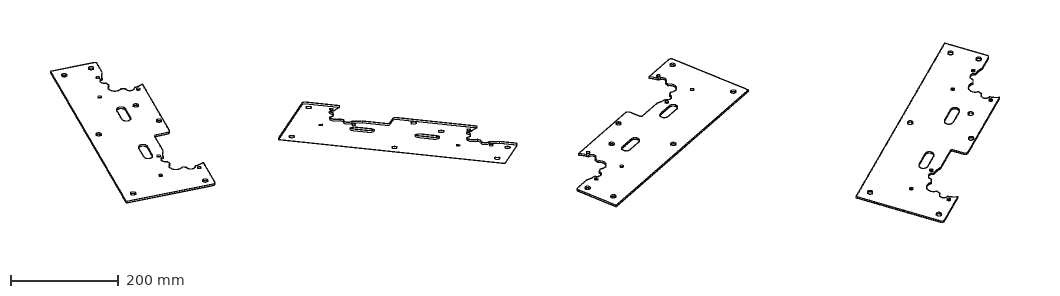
import cadquery as cq

length = 435.0
width = 175.5
thickness = 4.0

bay_pitch = 271.0
bay_rise = 27.0

left_ledge = 89.5
left_peak = width - bay_rise
right_ledge = left_ledge + bay_rise
step_x = 253.5

left_corner_radius = 4.0
peak_corner_radius = 6.5
inner_corner_radius = 4.0
right_corner_radius = 5.2

bay_x = 56.0
bay_y = 126.5
bay_radius = 43.0
corner_scallop_offset = 30.0
corner_scallop_radius = 12.5
side_scallop_reach = 41.8
side_scallop_shift = 4.5
side_scallop_radius = 8.3

small_hole_diameter = 6.5
small_hole_reach = 50.0
small_hole_shift = 9.0
lower_hole_drop = 66.5

large_hole_diameter = 10.0
bottom_row_y = 20.0
large_hole_centres = [
    (20.0, bottom_row_y),
    (217.5, bottom_row_y),
    (415.0, bottom_row_y),
    (15.0, 74.5),
    (153.0, 115.0),
    (212.5, 140.0),
    (419.8, 160.0),
]

slot_length = 46.0
slot_width = 17.0
slot_y = 85.0
first_slot_x = 172.0
slot_pitch = 125.3


def round_corner(body, x, y, radius):
    """Round the vertical edge nearest to a plan position."""
    nearest = cq.selectors.NearestToPointSelector((x, y, thickness / 2))
    return body.edges("|Z").edges(nearest).fillet(radius)


def cylinders(centres, radius):
    return cq.Workplane("XY").pushPoints(centres).circle(radius).extrude(thickness)


def make_blank():
    """Stepped plate before the bays and holes are cut."""
    second_bay_x = bay_x + bay_pitch
    blank = (
        cq.Workplane("XY")
        .polyline([
            (0, 0),
            (length, 0),
            (length, width),
            (second_bay_x, width),
            (second_bay_x, right_ledge),
            (step_x, right_ledge),
            (step_x, left_peak),
            (bay_x, left_peak),
            (bay_x, left_ledge),
            (0, left_ledge),
        ])
        .close()
        .extrude(thickness)
    )
    blank = round_corner(blank, 0, left_ledge, left_corner_radius)
    blank = round_corner(blank, step_x, left_peak, peak_corner_radius)
    blank = round_corner(blank, step_x, right_ledge, inner_corner_radius)
    return round_corner(blank, length, width, right_corner_radius)


def cut_bay(body, x, y):
    """Cut a scalloped bay and its three small holes around a bay centre."""
    corner_scallop = [(x + corner_scallop_offset, y - corner_scallop_offset)]
    side_scallops = [
        (x + side_scallop_reach, y - side_scallop_shift),
        (x + side_scallop_shift, y - side_scallop_reach),
    ]
    small_holes = [
        (x + small_hole_reach, y + small_hole_shift),
        (x - small_hole_shift, y - small_hole_reach),
        (x + small_hole_reach, y - lower_hole_drop),
    ]
    body = body.cut(cylinders([(x, y)], bay_radius))
    body = body.cut(cylinders(corner_scallop, corner_scallop_radius))
    body = body.cut(cylinders(side_scallops, side_scallop_radius))
    return body.cut(cylinders(small_holes, small_hole_diameter / 2))


def make_slots():
    centres = [(first_slot_x, slot_y), (first_slot_x + slot_pitch, slot_y)]
    return cq.Workplane("XY").pushPoints(centres).slot2D(slot_length, slot_width).extrude(thickness)


plate = make_blank()
for index in range(2):
    plate = cut_bay(plate, bay_x + index * bay_pitch, bay_y + index * bay_rise)
plate = plate.cut(cylinders(large_hole_centres, large_hole_diameter / 2))
result = plate.cut(make_slots())